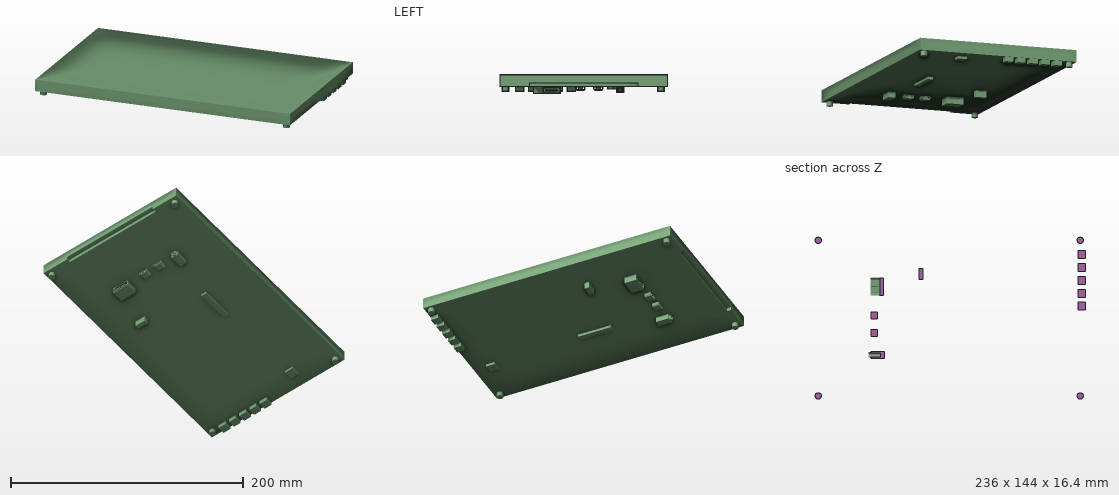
import cadquery as cq

panel_length = 236.0
panel_width = 144.0
overall_height = 16.4
tallest_part = 6.0
panel_thickness = overall_height - tallest_part

screen_length = 224.2
screen_width = 125.5
screen_offset_x = -0.9
screen_depth = 0.1

relief_length = 93.2
relief_height = 3.2
relief_depth = 3.8

standoff_diameter = 5.8
standoff_height = 4.0
standoff_x = 112.5
standoff_y = 66.8
standoff_offset_y = 0.4

button_count = 5
button_pitch = 11.1
button_row_y = 32.8
button_length = 7.0
button_width = 7.3
button_height = 4.0
button_x = 113.8

socket_front_x = -67.6

hdmi_y = 27.5
hdmi_length = 11.3
hdmi_width = 15.4
hdmi_height = tallest_part
hdmi_wall = 0.6
hdmi_corner_chamfer = 1.2
hdmi_cavity_depth = 8.0
hdmi_tongue_width = 11.0
hdmi_tongue_height = 0.9
hdmi_tongue_gap = 0.8
hdmi_tongue_z = -3.5

usb_positions_y = (2.8, -12.5)
usb_length = 6.0
usb_width = 8.1
usb_height = 3.1
usb_wall = 0.5
usb_corner_chamfer = 1.0
usb_tongue_width = 3.6
usb_window_width = 1.7
usb_slot_width = 2.2
usb_slot_depth = 3.0

jack_y = -31.2
jack_length = 12.1
jack_width = 6.5
jack_height = 4.9
jack_barrel_diameter = 4.9
jack_barrel_length = 1.6
jack_bore_diameter = 3.0
jack_bore_depth = 10.0

header_x, header_y = -24.3, 38.3
header_length, header_width = 4.2, 10.0
ribbon_socket_x, ribbon_socket_y = -0.4, -23.0
ribbon_socket_length, ribbon_socket_width = 31.0, 4.9
chip_x, chip_y = 100.8, -28.0
chip_size = 8.1
low_part_height = 2.2


def hanging_block(x, y, length, width, height):
    """Box centred on (x, y) that hangs from the panel underside."""
    return cq.Workplane("XY").center(x, y).rect(length, width).extrude(-height)


def facing_socket(x, y, z):
    """Workplane at a socket mouth whose extrusions run inward along +X."""
    return cq.Workplane("YZ", origin=(x, y, z))


def make_panel():
    panel = cq.Workplane("XY").rect(panel_length, panel_width).extrude(panel_thickness)
    screen = (
        cq.Workplane("XY", origin=(screen_offset_x, 0, panel_thickness))
        .rect(screen_length, screen_width)
        .extrude(-screen_depth)
    )
    relief = cq.Workplane("XY").box(
        2 * relief_depth, relief_length, 2 * relief_height
    ).translate((-panel_length / 2, 0, 0))
    return panel.cut(screen).cut(relief)


def make_standoffs():
    return (
        cq.Workplane("XY", origin=(0, standoff_offset_y, 0))
        .rect(2 * standoff_x, 2 * standoff_y, forConstruction=True)
        .vertices()
        .circle(standoff_diameter / 2)
        .extrude(-standoff_height)
    )


def make_buttons():
    return (
        cq.Workplane("XY", origin=(button_x, button_row_y, 0))
        .rarray(1, button_pitch, 1, button_count)
        .rect(button_length, button_width)
        .extrude(-button_height)
    )


def make_hdmi_socket():
    """Socket with a chamfered cavity and a tongue split in the middle."""
    body = hanging_block(
        socket_front_x + hdmi_length / 2, hdmi_y, hdmi_length, hdmi_width, hdmi_height
    )
    cavity = (
        facing_socket(socket_front_x, hdmi_y, -hdmi_height / 2)
        .rect(hdmi_width - 2 * hdmi_wall, hdmi_height - 2 * hdmi_wall)
        .extrude(hdmi_cavity_depth)
        .edges("|X")
        .chamfer(hdmi_corner_chamfer)
    )
    half_width = (hdmi_tongue_width - hdmi_tongue_gap) / 2
    tongue = (
        facing_socket(socket_front_x, hdmi_y, hdmi_tongue_z)
        .rarray(half_width + hdmi_tongue_gap, 1, 2, 1)
        .rect(half_width, hdmi_tongue_height)
        .extrude(hdmi_cavity_depth)
    )
    return body.cut(cavity).union(tongue)


def make_usb_socket(y):
    """Shell with chamfered lower corners, two through windows and a central slot."""
    body = hanging_block(
        socket_front_x + usb_length / 2, y, usb_length, usb_width, usb_height
    )
    body = body.edges("|X and <Z").chamfer(usb_corner_chamfer)
    window_spacing = usb_tongue_width + usb_window_width
    windows = (
        facing_socket(socket_front_x, y, -usb_height / 2)
        .rarray(window_spacing, 1, 2, 1)
        .rect(usb_window_width, usb_height - 2 * usb_wall)
        .extrude(usb_length)
    )
    slot = (
        facing_socket(socket_front_x, y, -usb_height / 2)
        .rect(usb_slot_width, usb_height - 2 * usb_wall)
        .extrude(usb_slot_depth)
    )
    return body.cut(windows).cut(slot)


def make_audio_jack():
    body = hanging_block(
        socket_front_x + jack_length / 2, jack_y, jack_length, jack_width, jack_height
    )
    mouth = facing_socket(socket_front_x - jack_barrel_length, jack_y, -jack_height / 2)
    barrel = mouth.circle(jack_barrel_diameter / 2).extrude(2 * jack_barrel_length)
    bore = mouth.circle(jack_bore_diameter / 2).extrude(jack_bore_depth)
    return body.union(barrel).cut(bore)


def make_plain_components():
    header = hanging_block(header_x, header_y, header_length, header_width, tallest_part)
    ribbon_socket = hanging_block(
        ribbon_socket_x,
        ribbon_socket_y,
        ribbon_socket_length,
        ribbon_socket_width,
        low_part_height,
    )
    chip = hanging_block(chip_x, chip_y, chip_size, chip_size, low_part_height)
    return header.union(ribbon_socket).union(chip)


result = (
    make_panel()
    .union(make_standoffs())
    .union(make_buttons())
    .union(make_hdmi_socket())
    .union(make_audio_jack())
    .union(make_plain_components())
)
for usb_y in usb_positions_y:
    result = result.union(make_usb_socket(usb_y))